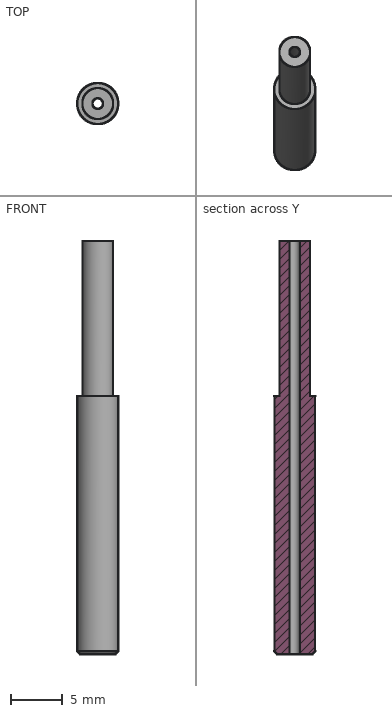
import cadquery as cq

total_length = 40.0
body_diameter = 4.0
body_length = 25.0
stem_diameter = 3.0
bore_diameter = 1.0
bottom_chamfer = 0.3

body = (
    cq.Workplane("XY")
    .circle(body_diameter / 2)
    .extrude(body_length)
    .faces("<Z")
    .chamfer(bottom_chamfer)
)

stem = (
    cq.Workplane("XY")
    .workplane(offset=body_length)
    .circle(stem_diameter / 2)
    .extrude(total_length - body_length)
)

bore = cq.Workplane("XY").circle(bore_diameter / 2).extrude(total_length)

result = body.union(stem).cut(bore)